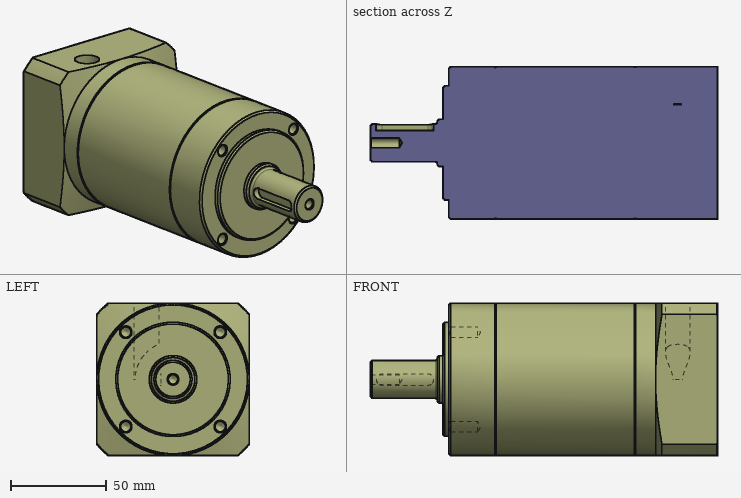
import cadquery as cq
import math

total_length = 182.0
block_side = 80.0
block_corner_radius = 52.5
block_edge_chamfer = 0.5
block_cone_angle = 15.0

shaft_radius = 10.0
shaft_length = 35.0
shaft_chamfer = 1.0
shaft_root_fillet = 1.0

keyway_start = 3.0
keyway_length = 30.0
keyway_width = 6.0
keyway_depth = 3.5

collar_radius = 12.5
collar_length = 3.0
collar_chamfer = 1.0
pilot_radius = 30.0
pilot_length = 3.0
pilot_chamfer = 1.0

housing_radius = 40.0
front_chamfer = 1.0
front_ring_length = 24.5
middle_ring_length = 73.2
rear_ring_length = 10.8
groove_width = 0.8
groove_depth = groove_width / 2

drill_point_angle = 118.0
centre_hole_diameter = 5.0
centre_hole_depth = 15.0
flange_hole_diameter = 5.5
flange_hole_depth = 15.0
flange_hole_circle_radius = 35.0
flange_hole_count = 4
hole_chamfer = 0.5

access_hole_diameter = 13.0
access_hole_y = 14.0
access_hole_from_rear = 21.0
clamp_hub_radius = 20.0

collar_x = shaft_length
pilot_x = collar_x + collar_length
housing_x = pilot_x + pilot_length
front_groove_x = housing_x + front_ring_length
rear_groove_x = front_groove_x + middle_ring_length
block_x = rear_groove_x + rear_ring_length


def make_shaft_and_housing():
    """Revolve the shaft, shoulders and round housing about the X axis."""
    return (
        cq.Workplane("XZ")
        .moveTo(0, 0)
        .lineTo(0, shaft_radius - shaft_chamfer)
        .lineTo(shaft_chamfer, shaft_radius)
        .lineTo(collar_x - shaft_root_fillet, shaft_radius)
        .radiusArc((collar_x, shaft_radius + shaft_root_fillet), -shaft_root_fillet)
        .lineTo(collar_x, collar_radius - collar_chamfer)
        .lineTo(collar_x + collar_chamfer, collar_radius)
        .lineTo(pilot_x, collar_radius)
        .lineTo(pilot_x, pilot_radius - pilot_chamfer)
        .lineTo(pilot_x + pilot_chamfer, pilot_radius)
        .lineTo(housing_x, pilot_radius)
        .lineTo(housing_x, housing_radius - front_chamfer)
        .lineTo(housing_x + front_chamfer, housing_radius)
        .lineTo(block_x, housing_radius)
        .lineTo(block_x, 0)
        .close()
        .revolve(360, (0, 0, 0), (1, 0, 0))
    )


def make_joint_groove(centre_x):
    """V-shaped ring that cuts one joint groove around the housing."""
    return (
        cq.Workplane("XZ")
        .moveTo(centre_x - groove_width / 2, housing_radius)
        .lineTo(centre_x, housing_radius - groove_depth)
        .lineTo(centre_x + groove_width / 2, housing_radius)
        .close()
        .revolve(360, (0, 0, 0), (1, 0, 0))
    )


def make_block():
    """Square block turned to a conical front and rounded corners."""
    cone_length = (block_corner_radius - housing_radius) * math.tan(math.radians(block_cone_angle))
    square = cq.Workplane("YZ", origin=(block_x, 0, 0)).rect(block_side, block_side)
    turned = (
        cq.Workplane("XZ")
        .moveTo(block_x, 0)
        .lineTo(block_x, housing_radius)
        .lineTo(block_x + cone_length, block_corner_radius)
        .lineTo(total_length - block_edge_chamfer, block_corner_radius)
        .lineTo(total_length, block_corner_radius - block_edge_chamfer)
        .lineTo(total_length, 0)
        .close()
        .revolve(360, (0, 0, 0), (1, 0, 0))
    )
    return square.extrude(total_length - block_x).intersect(turned)


def make_drilled_hole(x, y, z, diameter, depth):
    """Drill along +X with a conical point and a chamfered mouth."""
    radius = diameter / 2
    point_length = radius / math.tan(math.radians(drill_point_angle / 2))
    return (
        cq.Workplane("XZ", origin=(x, y, z))
        .moveTo(0, 0)
        .lineTo(0, radius + hole_chamfer)
        .lineTo(hole_chamfer, radius)
        .lineTo(depth, radius)
        .lineTo(depth + point_length, 0)
        .close()
        .revolve(360, (0, 0, 0), (1, 0, 0))
    )


def make_keyway():
    """Rounded slot sunk into the +Y side of the shaft."""
    centre_x = keyway_start + keyway_length / 2
    return (
        cq.Workplane("XZ", origin=(centre_x, shaft_radius, 0))
        .slot2D(keyway_length, keyway_width)
        .extrude(keyway_depth)
    )


def make_access_hole():
    """Hole drilled down from the top of the block, its floor rounded by the clamp hub."""
    drill = (
        cq.Workplane("XY", origin=(total_length - access_hole_from_rear, access_hole_y, 0))
        .circle(access_hole_diameter / 2)
        .extrude(block_side / 2)
    )
    hub = cq.Workplane("YZ", origin=(block_x, 0, 0)).circle(clamp_hub_radius).extrude(total_length - block_x)
    return drill.cut(hub)


result = make_shaft_and_housing().union(make_block())
result = result.cut(make_keyway())

for groove_x in (front_groove_x, rear_groove_x):
    result = result.cut(make_joint_groove(groove_x))

result = result.cut(make_drilled_hole(0, 0, 0, centre_hole_diameter, centre_hole_depth))

half_step = math.pi / flange_hole_count
for index in range(flange_hole_count):
    angle = (2 * index + 1) * half_step
    hole_y = flange_hole_circle_radius * math.cos(angle)
    hole_z = flange_hole_circle_radius * math.sin(angle)
    result = result.cut(make_drilled_hole(housing_x, hole_y, hole_z, flange_hole_diameter, flange_hole_depth))

result = result.cut(make_access_hole())